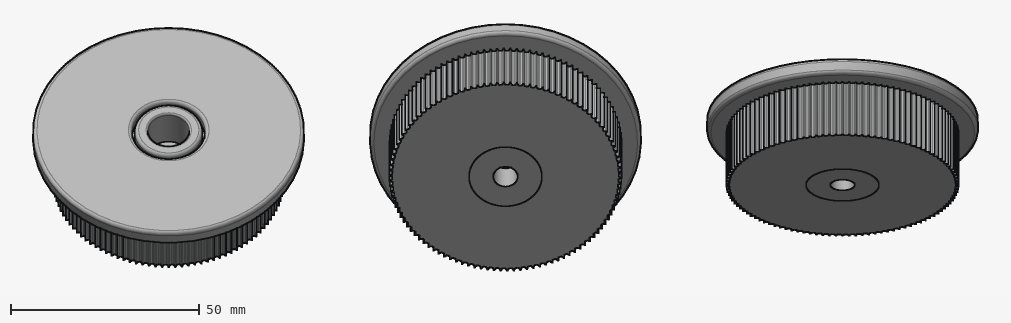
import cadquery as cq
import math

disk_diameter = 72
disk_thickness = 4.5
disk_edge_round = 1.0
total_height = 20.0
disk_bottom = total_height - disk_thickness
bore_diameter = 19.4
bore_edge_round = 1.0

tooth_count = 110
tip_diameter = 61.7
root_diameter = 60.05
flank_angle = math.radians(21.5)
tooth_tip_round = 0.09
tooth_root_round = 0.47

neck_diameter = 18
neck_edge_round = 1.0
shoulder_depth = 3.2
shoulder_slope = math.radians(5)
counterbore_diameter = 11.0
counterbore_depth = 11.4
counterbore_edge_round = 0.5
screw_hole_diameter = 6.5
screw_hole_edge_round = 0.5


def tooth_side_points():
    """Points down one side of a tooth that stands along +Y, from its tip to the middle of the next root.

    The round tip runs into a straight flank, and a root round joins the flank to the root circle.
    Returns the tip, the flank's top and bottom, the middle and end of the root round, and the
    middle of the root.
    """
    flank_normal = cq.Vector(math.cos(flank_angle), math.sin(flank_angle))
    down_flank = cq.Vector(math.sin(flank_angle), -math.cos(flank_angle))
    root_radius = root_diameter / 2

    tip = cq.Vector(0, tip_diameter / 2)
    flank_top = tip - cq.Vector(0, tooth_tip_round) + flank_normal * tooth_tip_round

    centre_at_top = flank_top + flank_normal * tooth_root_round
    centre_distance = root_radius + tooth_root_round
    along = centre_at_top.dot(down_flank)
    slide = -along - math.sqrt(along**2 - centre_at_top.dot(centre_at_top) + centre_distance**2)
    centre = centre_at_top + down_flank * slide

    flank_bottom = centre - flank_normal * tooth_root_round
    towards_axis = centre.normalized() * -1
    round_middle = centre + (towards_axis - flank_normal).normalized() * tooth_root_round
    round_end = centre + towards_axis * tooth_root_round
    half_pitch = math.pi / tooth_count
    root_middle = cq.Vector(math.sin(half_pitch), math.cos(half_pitch)) * root_radius
    return tip, flank_top, flank_bottom, round_middle, round_end, root_middle


def turned(point, angle):
    """The point turned clockwise about the Z axis."""
    x = point.x * math.cos(angle) + point.y * math.sin(angle)
    y = point.y * math.cos(angle) - point.x * math.sin(angle)
    return (x, y)


def mirrored(point):
    """The point carried to the other side of the tooth."""
    return cq.Vector(-point.x, point.y)


def make_toothed_rim():
    """Ring of narrow round-tipped teeth, with the middle of a root on the +X axis."""
    tip, flank_top, flank_bottom, round_middle, round_end, root_middle = tooth_side_points()
    pitch_angle = 2 * math.pi / tooth_count
    first_tooth_angle = math.pi / 2 + pitch_angle / 2
    outline = cq.Workplane("XY").moveTo(*turned(mirrored(round_end), first_tooth_angle))
    for index in range(tooth_count):
        angle = first_tooth_angle + index * pitch_angle
        first_flank_bottom = turned(mirrored(flank_bottom), angle)
        next_tooth_start = turned(mirrored(round_end), angle + pitch_angle)
        outline = (
            outline.threePointArc(turned(mirrored(round_middle), angle), first_flank_bottom)
            .lineTo(*turned(mirrored(flank_top), angle))
            .threePointArc(turned(tip, angle), turned(flank_top, angle))
            .lineTo(*turned(flank_bottom, angle))
            .threePointArc(turned(round_middle, angle), turned(round_end, angle))
            .threePointArc(turned(root_middle, angle), next_tooth_start)
        )
    return outline.close().extrude(disk_bottom)


def make_toothed_disk():
    """Round-edged disk with the toothed rim under it and a bore through both."""
    disk = (
        cq.Workplane("XY")
        .workplane(offset=disk_bottom)
        .circle(disk_diameter / 2)
        .extrude(disk_thickness)
        .edges()
        .fillet(disk_edge_round)
    )
    bored = disk.union(make_toothed_rim()).faces(">Z").workplane().hole(bore_diameter)
    return bored.faces(">Z").edges(cq.selectors.RadiusNthSelector(0)).fillet(bore_edge_round)


def rounded_inner_edge(bush, height, radius):
    """The bush with the innermost edge of its flat ring at the given height rounded."""
    ring = bush.faces("|Z").faces(cq.selectors.NearestToPointSelector((0, 0, height)))
    return ring.edges(cq.selectors.RadiusNthSelector(0)).fillet(radius)


def make_bush():
    """Stepped bush: a foot filling the bore, a sloping shoulder and a neck with a gap around it."""
    foot_radius = bore_diameter / 2
    neck_radius = neck_diameter / 2
    shoulder_height = total_height - shoulder_depth
    shoulder_rise = (foot_radius - neck_radius) * math.tan(shoulder_slope)
    counterbore_radius = counterbore_diameter / 2
    counterbore_floor = total_height - counterbore_depth
    screw_hole_radius = screw_hole_diameter / 2
    half_section = (
        cq.Workplane("XZ")
        .moveTo(screw_hole_radius, 0)
        .lineTo(foot_radius, 0)
        .lineTo(foot_radius, shoulder_height)
        .lineTo(neck_radius, shoulder_height + shoulder_rise)
        .lineTo(neck_radius, total_height)
        .lineTo(counterbore_radius, total_height)
        .lineTo(counterbore_radius, counterbore_floor)
        .lineTo(screw_hole_radius, counterbore_floor)
        .close()
    )
    bush = half_section.revolve(360, (0, 0, 0), (0, 1, 0))
    bush = bush.faces(">Z").edges(cq.selectors.RadiusNthSelector(1)).fillet(neck_edge_round)
    bush = rounded_inner_edge(bush, total_height, counterbore_edge_round)
    return rounded_inner_edge(bush, counterbore_floor, screw_hole_edge_round)


toothed_disk = make_toothed_disk()
bush = make_bush()

result = cq.Compound.makeCompound([toothed_disk.solids().val(), bush.solids().val()])